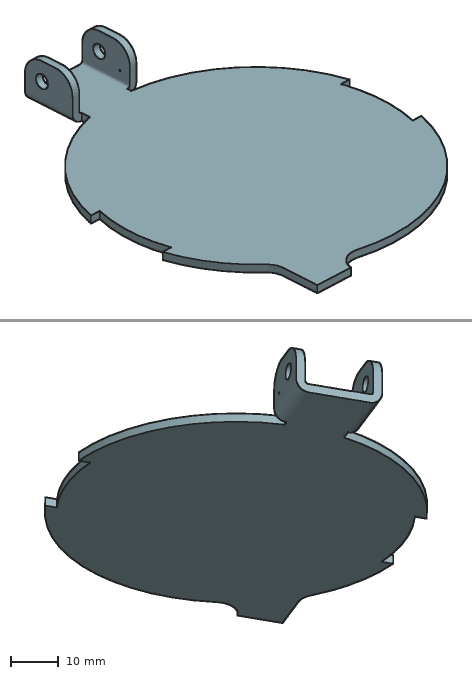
import math

import cadquery as cq

thickness = 2.0
bend_inner_radius = 0.74
bend_outer_radius = bend_inner_radius + thickness

disc_radius = 40.0
notch_floor_radius = 37.5
notch_width = 21.0

finger_tip_x = 43.0
finger_lower_y = -25.5
finger_width = 10.0
finger_fillet = 5.0

hinge_end_x = -55.0
hinge_center_y = -3.5
hinge_width = 19.1
lug_length = 14.0
lug_height = 12.0
lug_corner_radius = 5.0
pin_diameter = 3.5
pin_from_end = 5.0
pin_from_top = 5.0

pinhole_diameter = 0.3
pinhole_from_end = 11.0
pinhole_height = 4.9


def make_disc():
    """Round plate with a shallow concentric notch at its +Y and -Y edges."""
    disc = cq.Workplane("XY").circle(disc_radius).extrude(thickness)
    rim = cq.Workplane("XY").circle(disc_radius).circle(notch_floor_radius).extrude(thickness)
    notch_band = cq.Workplane("XY").box(
        notch_width, 2 * disc_radius, thickness, centered=(True, True, False)
    )
    return disc.cut(rim.intersect(notch_band))


def make_finger_tab():
    """Square-ended tab whose sides flow into the disc through concave fillets."""
    upper_y = finger_lower_y + finger_width
    center_distance = disc_radius + finger_fillet
    lower_center_y = finger_lower_y - finger_fillet
    upper_center_y = upper_y + finger_fillet
    lower_center_x = math.sqrt(center_distance**2 - lower_center_y**2)
    upper_center_x = math.sqrt(center_distance**2 - upper_center_y**2)

    contact_ratio = disc_radius / center_distance
    outline = (
        cq.Workplane("XY")
        .moveTo(0, 0)
        .lineTo(lower_center_x * contact_ratio, lower_center_y * contact_ratio)
        .lineTo(lower_center_x, lower_center_y)
        .lineTo(lower_center_x, finger_lower_y)
        .lineTo(finger_tip_x, finger_lower_y)
        .lineTo(finger_tip_x, upper_center_y)
        .lineTo(upper_center_x * contact_ratio, upper_center_y * contact_ratio)
        .close()
    )
    fillet_cutters = (
        cq.Workplane("XY")
        .pushPoints([(lower_center_x, lower_center_y), (upper_center_x, upper_center_y)])
        .circle(finger_fillet)
        .extrude(thickness)
    )
    return outline.extrude(thickness).cut(fillet_cutters)


def make_hinge_bracket():
    """U-shaped bent bracket: a base strip with two upright pin lugs."""
    channel_outside = (
        cq.Workplane("XY")
        .box(lug_length, hinge_width, lug_height, centered=(False, True, False))
        .edges("|X and <Z")
        .fillet(bend_outer_radius)
    )
    channel_inside = (
        cq.Workplane("XY")
        .workplane(offset=thickness)
        .box(lug_length, hinge_width - 2 * thickness, lug_height, centered=(False, True, False))
        .edges("|X and <Z")
        .fillet(bend_inner_radius)
    )
    pin_holes = (
        cq.Workplane("XZ")
        .center(pin_from_end, lug_height - pin_from_top)
        .circle(pin_diameter / 2)
        .extrude(hinge_width, both=True)
    )
    pinhole = (
        cq.Workplane("XZ")
        .center(pinhole_from_end, pinhole_height)
        .circle(pinhole_diameter / 2)
        .extrude(-hinge_width)
    )
    channel = (
        channel_outside.edges("|Y and >Z")
        .fillet(lug_corner_radius)
        .cut(channel_inside)
        .cut(pin_holes)
        .cut(pinhole)
    )
    strip = cq.Workplane("XY").box(
        -hinge_end_x,
        hinge_width - 2 * bend_outer_radius,
        thickness,
        centered=(False, True, False),
    )
    return channel.union(strip).translate((hinge_end_x, hinge_center_y, 0))


result = make_disc().union(make_finger_tab()).union(make_hinge_bracket()).clean()